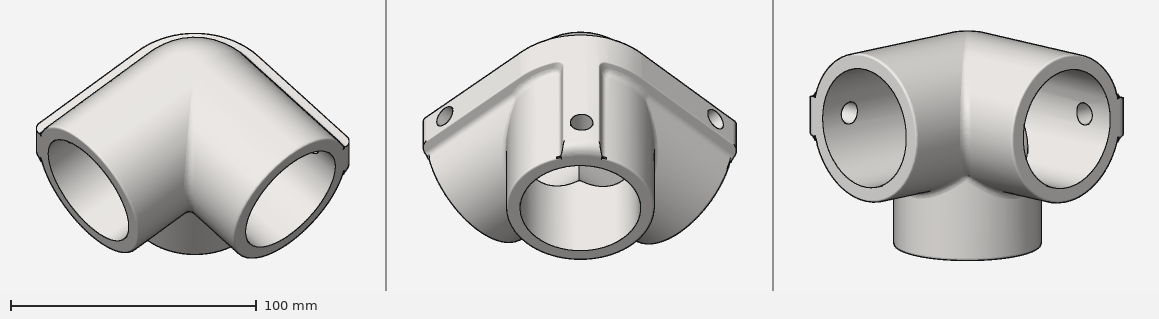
import cadquery as cq
import math

size = 93.0
rib_reach = 34.8
arm_end = size - rib_reach
leg_end = 57.8
arm_radius = 30.7
leg_radius = 30.1
bore_radius = 24.55
mouth_round = 0.9
crotch_round = 3.0

rib_half_width = 7.2
rib_draft = 0.25
rib_inner = 27.0
rib_end_round = 4.8
rib_edge_round = 0.65
root_round = 3.0
rib_joint_round = 3.5

hole_radius = 4.6
hole_distance = 43.15

spare = 11.2
tolerance = 0.01

x_arm = cq.Plane(origin=(0, 0, 0), xDir=(0, 1, 0), normal=(1, 0, 0))
y_arm = cq.Plane(origin=(0, 0, 0), xDir=(-1, 0, 0), normal=(0, -1, 0))
leg = cq.Plane(origin=(0, 0, 0), xDir=(-1, 1, 0), normal=(0, 0, -1))
tubes = [(x_arm, arm_radius, arm_end), (y_arm, arm_radius, arm_end), (leg, leg_radius, leg_end)]


def tube_elbow(sections):
    """Round bars from the origin, joined by a ball; sections holds (plane, radius, length)."""
    body = cq.Workplane("XY").sphere(sections[0][1])
    for plane, radius, length in sections:
        body = body.union(cq.Workplane(plane).circle(radius).extrude(length))
    return body


def outer_elbow():
    body = tube_elbow([(plane, radius, length + spare) for plane, radius, length in tubes])
    crotch = cq.selectors.BoxSelector(
        (-arm_radius / 2, -arm_radius, -arm_radius), (arm_radius, arm_radius / 2, arm_radius / 2)
    )
    return body.edges(crotch).edges("not(%Circle or %Line)").fillet(crotch_round)


def rib_section(plane, reach=rib_reach):
    outer_half = rib_half_width + rib_draft * (rib_reach - reach)
    inner_half = rib_half_width + rib_draft * (rib_reach - rib_inner)
    return cq.Workplane(plane).polyline([
        (reach, -outer_half),
        (reach, outer_half),
        (rib_inner, inner_half),
        (rib_inner, -inner_half),
    ]).close()


def ribs():
    corner = rib_section(x_arm).revolve(90, (0, 0, 0), (0, 1, 0))
    x_rib = rib_section(x_arm).extrude(arm_end + spare)
    y_rib = rib_section(y_arm).extrude(arm_end + spare)
    drum = cq.Workplane(leg).circle(rib_reach).extrude(leg_end + spare)
    leg_rib = rib_section(leg, rib_reach + 0.9).extrude(leg_end + spare).intersect(drum)
    return corner.union(x_rib).union(y_rib).union(leg_rib)


def outward(point):
    """Distance of a point toward the ribbed side, equal to rib_reach all over the ribs' outer faces."""
    if point.x < 0 < point.y:
        return math.hypot(point.x, point.y)
    return max(-point.x, point.y)


def edges_between(body, nearest, farthest):
    """Lengthwise rib edges whose outward distance stays within the two limits."""
    chosen = []
    for edge in body.edges().vals():
        points = [edge.startPoint(), edge.positionAt(0.5), edge.endPoint()]
        crosses_rib = abs(points[1].z) < tolerance or points[1].z < -leg_end
        inside = all(nearest < outward(point) < farthest for point in points)
        if inside and not crosses_rib:
            chosen.append(edge)
    return body.newObject(chosen)


def end_trim(plane, length):
    """Closed outline, in the plane of a tube axis and its rib, of the stock beyond the rounded end."""
    side = cq.Plane(origin=(0, 0, 0), xDir=plane.xDir, normal=plane.xDir.cross(plane.zDir))
    diagonal = rib_end_round * math.sqrt(0.5)
    far = 2 * spare
    return (
        cq.Workplane(side)
        .moveTo(rib_reach - rib_end_round, length)
        .threePointArc(
            (rib_reach - rib_end_round + diagonal, length - rib_end_round + diagonal),
            (rib_reach, length - rib_end_round),
        )
        .lineTo(rib_reach + far, length - rib_end_round)
        .lineTo(rib_reach + far, length + far)
    )


def trim_ends(body):
    for plane, _, length in tubes[:2]:
        tool = end_trim(plane, length).lineTo(-size, length + 2 * spare).lineTo(-size, length).close()
        body = body.cut(tool.extrude(size, both=True))
    tool = end_trim(leg, leg_end).lineTo(0, leg_end + 2 * spare).lineTo(0, leg_end).close()
    return body.cut(tool.revolve(360, (0, 0, 0), (0, 1, 0)))


def mouth_rounding(plane, radius, length):
    """Sliver outside the rounded rim of a mouth, interrupted where the rib meets the rim."""
    depth = 2 * mouth_round
    rim = cq.Workplane(plane).workplane(offset=length - depth).circle(radius).extrude(depth)
    mouth = cq.selectors.DirectionMinMaxSelector(plane.zDir)
    sliver = rim.cut(rim.faces(mouth).edges().fillet(mouth_round))
    rib_width = 2 * (rib_half_width + mouth_round)
    rib_zone = cq.Workplane(plane).center(radius, 0).rect(radius, rib_width).extrude(length)
    return sliver.cut(rib_zone)


def screw_hole(plane):
    across = cq.Plane(origin=plane.zDir * hole_distance, xDir=plane.zDir, normal=plane.xDir)
    return cq.Workplane(across).circle(hole_radius).extrude(rib_reach + 0.9)


result = outer_elbow().union(ribs())
result = result.edges("%HYPERBOLA").fillet(rib_joint_round)
result = edges_between(result, leg_radius - 0.9, arm_radius).fillet(root_round)
result = edges_between(result, rib_reach - tolerance, rib_reach + tolerance).fillet(rib_edge_round)
result = trim_ends(result)
for tube in tubes:
    result = result.cut(mouth_rounding(*tube))
result = result.cut(tube_elbow([(plane, bore_radius, length) for plane, _, length in tubes]))
for plane, _, _ in tubes:
    result = result.cut(screw_hole(plane))